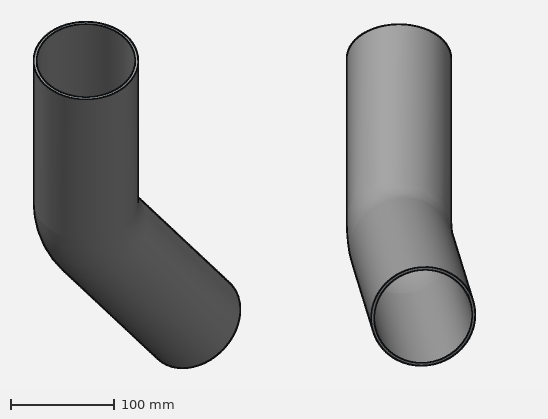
import cadquery as cq
import math

outer_diameter = 101.6
inner_diameter = 95.5
bend_angle = 30.0
bend_radius = outer_diameter
leg_length = 2 * outer_diameter


def centreline():
    """Vertical upper leg, arc bend toward +Y, then the inclined lower leg."""
    angle = math.radians(bend_angle)

    def point_on_bend(turned):
        return bend_radius * (1 - math.cos(turned)), -bend_radius * math.sin(turned)

    bend_middle = point_on_bend(angle / 2)
    bend_end = point_on_bend(angle)
    lower_end = (
        bend_end[0] + leg_length * math.sin(angle),
        bend_end[1] - leg_length * math.cos(angle),
    )
    return (
        cq.Workplane("YZ")
        .moveTo(0, leg_length)
        .lineTo(0, 0)
        .threePointArc(bend_middle, bend_end)
        .lineTo(*lower_end)
    )


def bent_pipe():
    """Sweep the pipe's ring section down from the open upper end."""
    section = (
        cq.Workplane("XY")
        .workplane(offset=leg_length)
        .circle(outer_diameter / 2)
        .circle(inner_diameter / 2)
    )
    return section.sweep(centreline())


result = bent_pipe()